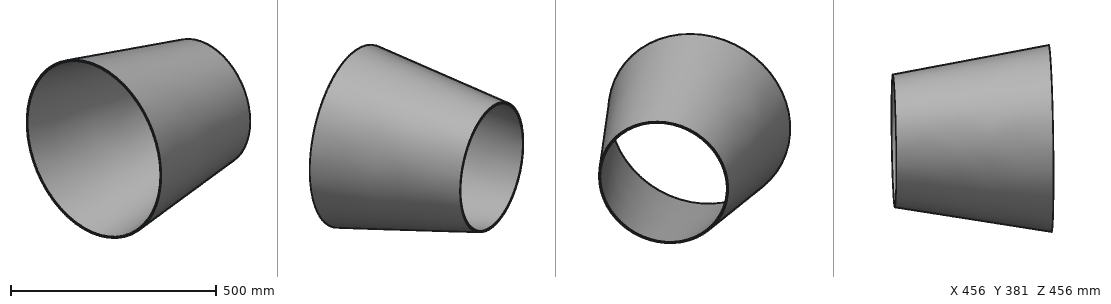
import cadquery as cq

large_diameter = 456.0
small_diameter = 324.0
length = 381.0
wall = 4.0

large_radius = large_diameter / 2
small_radius = small_diameter / 2

wall_section = (
    cq.Workplane("XY")
    .moveTo(large_radius - wall, 0)
    .lineTo(large_radius, 0)
    .lineTo(small_radius, length)
    .lineTo(small_radius - wall, length)
    .close()
)

result = wall_section.revolve(360, (0, 0, 0), (0, 1, 0))